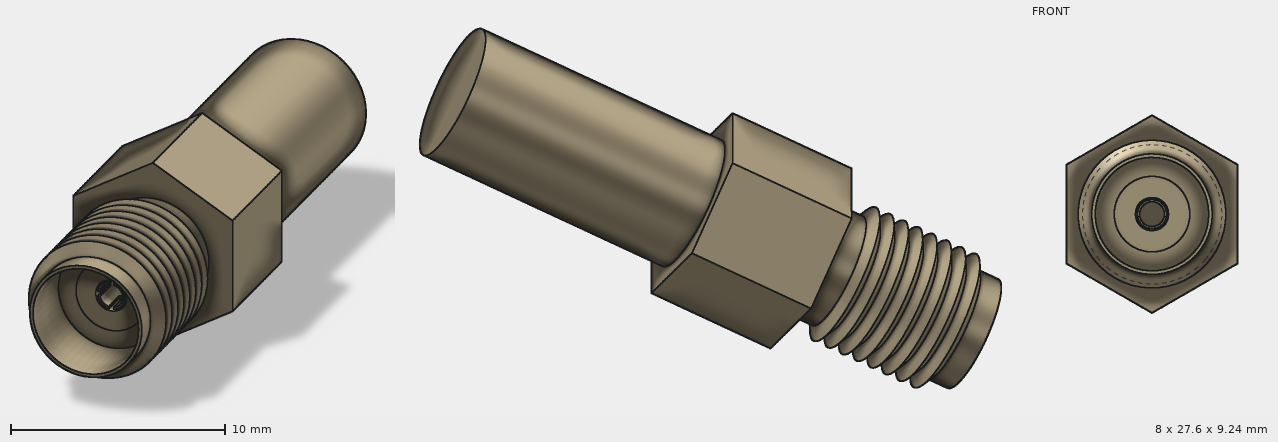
import cadquery as cq
import math


total_length = 27.6
hex_start = 8.6
hex_end = 14.9
thread_start = 1.1
thread_length = 6.07
thread_ridges = 8
thread_pitch = thread_length / thread_ridges
bore_depth = 3.25
insulator_end = hex_end
socket_depth = 2.75
slot_depth = 1.38

hex_across_flats = 8.0
barrel_radius = 3.25
neck_radius = 2.82
thread_crest_radius = 3.45
bore_radius = 2.65
insulator_radius = 1.77
clearance_radius = 0.77
contact_radius = 0.7
socket_radius = 0.58
slot_width = 0.25


def cylinder(radius, start, end):
    """Solid cylinder on the Y axis from start to end."""
    return cq.Workplane("XZ", origin=(0, start, 0)).circle(radius).extrude(start - end)


def make_front_neck():
    """Threaded neck: a revolved profile with evenly spaced sharp ridges."""
    profile = cq.Workplane("XY").lineTo(neck_radius, 0).lineTo(neck_radius, thread_start)
    for ridge in range(thread_ridges):
        ridge_start = thread_start + ridge * thread_pitch
        profile = profile.lineTo(thread_crest_radius, ridge_start + thread_pitch / 2)
        profile = profile.lineTo(neck_radius, ridge_start + thread_pitch)
    profile = profile.lineTo(neck_radius, hex_start).lineTo(0, hex_start).close()
    return profile.revolve(360, (0, 0, 0), (0, 1, 0))


def make_hex_grip():
    """Hexagonal grip with two corners pointing along Z and flats facing X."""
    across_corners = hex_across_flats / math.cos(math.pi / 6)
    return (
        cq.Workplane("XZ", origin=(0, hex_start, 0))
        .transformed(rotate=(0, 0, 90))
        .polygon(6, across_corners)
        .extrude(hex_start - hex_end)
    )


def make_housing():
    """Outer shell, with the open front bore and the seat for the insulator."""
    shell = make_front_neck().union(make_hex_grip())
    shell = shell.union(cylinder(barrel_radius, hex_end, total_length))
    shell = shell.cut(cylinder(bore_radius, 0, bore_depth))
    return shell.cut(cylinder(insulator_radius, bore_depth, insulator_end))


def make_insulator():
    """Sleeve flush with the bore floor, relieved around the contact's spring fingers."""
    sleeve = cylinder(insulator_radius, bore_depth, insulator_end)
    sleeve = sleeve.cut(cylinder(contact_radius, bore_depth, insulator_end))
    return sleeve.cut(cylinder(clearance_radius, bore_depth, bore_depth + slot_depth))


def make_contact():
    """Centre contact with a blind socket, split into four spring fingers by crossed slots."""
    pin = cylinder(contact_radius, bore_depth, insulator_end)
    pin = pin.cut(cylinder(socket_radius, bore_depth, bore_depth + socket_depth))
    slot_length = 2 * clearance_radius
    for size_x, size_z in ((slot_length, slot_width), (slot_width, slot_length)):
        slot = cq.Workplane("XZ", origin=(0, bore_depth, 0)).rect(size_x, size_z).extrude(-slot_depth)
        pin = pin.cut(slot)
    return pin


housing = make_housing()
insulator = make_insulator()
contact = make_contact()

result = cq.Compound.makeCompound([housing.val(), insulator.val(), contact.val()])